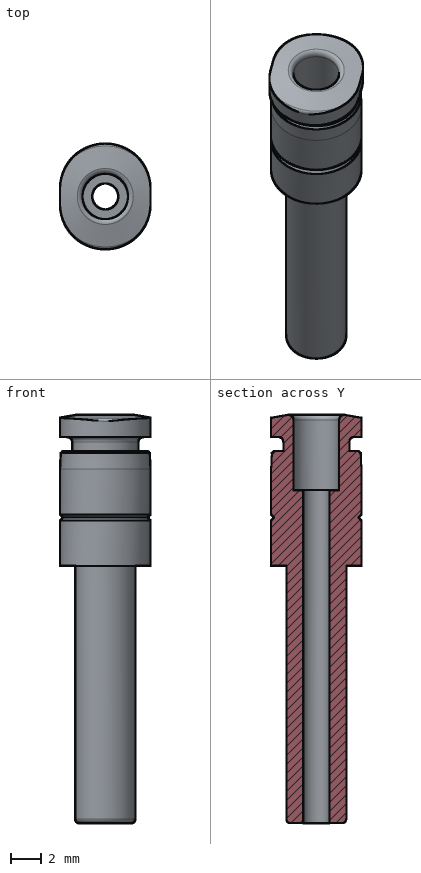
import cadquery as cq
import math

STEM_DIAMETER = 4.0
STEM_LENGTH = 17.0
STEM_END_FILLET = 0.3

COLLAR_DIAMETER = 6.0
COLLAR_TOP_Z = 24.6
COLLAR_CHAMFER = 0.15
COLLAR_LEAD_IN_Z = 23.4
COLLAR_LEAD_IN_DIAMETER = 5.9

GROOVE_CENTER_Z = 20.2
GROOVE_ROOT_DIAMETER = 5.6

NECK_DIAMETER = 4.4
NECK_FILLET = 0.3
HEAD_BOTTOM_Z = 25.5
HEAD_TOP_Z = 27.0
HEAD_LENGTH = 7.0
HEAD_WIDTH = 6.0
HEAD_EDGE_FILLET = 0.2
HEAD_TOP_SLOPE = math.radians(10)
CUT_CLEARANCE = 0.5

BORE_DIAMETER = 1.7
COUNTERBORE_DIAMETER = 3.0
COUNTERBORE_DEPTH = 5.0
MOUTH_FILLET = 0.35


def cylinder(diameter, bottom_z, top_z):
    """Cylinder on the Z axis between two heights."""
    return cq.Workplane("XY").workplane(offset=bottom_z).circle(diameter / 2).extrude(top_z - bottom_z)


def revolve_profile(points):
    """Revolve a closed (radius, height) polygon about the Z axis."""
    return cq.Workplane("XZ").polyline(points).close().revolve(360, (0, 0), (0, 1))


def make_stem():
    return cylinder(STEM_DIAMETER, 0, STEM_LENGTH).faces("<Z").edges().fillet(STEM_END_FILLET)


def make_collar():
    """Collar with a V-groove, a slightly tapered lead-in and a chamfered top rim."""
    radius = COLLAR_DIAMETER / 2
    lead_in_radius = COLLAR_LEAD_IN_DIAMETER / 2
    groove_radius = GROOVE_ROOT_DIAMETER / 2
    groove_half_width = radius - groove_radius
    return revolve_profile([
        (0, STEM_LENGTH),
        (radius, STEM_LENGTH),
        (radius, GROOVE_CENTER_Z - groove_half_width),
        (groove_radius, GROOVE_CENTER_Z),
        (radius, GROOVE_CENTER_Z + groove_half_width),
        (radius, COLLAR_LEAD_IN_Z),
        (lead_in_radius, COLLAR_TOP_Z - COLLAR_CHAMFER),
        (lead_in_radius - COLLAR_CHAMFER, COLLAR_TOP_Z),
        (0, COLLAR_TOP_Z),
    ])


def make_neck():
    """Neck that flares into the underside of the head with a concave fillet."""
    radius = NECK_DIAMETER / 2
    flare_start_z = HEAD_BOTTOM_Z - NECK_FILLET
    flare_center = (radius + NECK_FILLET, flare_start_z)
    arc_offset = NECK_FILLET * math.sqrt(0.5)
    return (
        cq.Workplane("XZ")
        .moveTo(0, COLLAR_TOP_Z)
        .lineTo(radius, COLLAR_TOP_Z)
        .lineTo(radius, flare_start_z)
        .threePointArc(
            (flare_center[0] - arc_offset, flare_center[1] + arc_offset),
            (flare_center[0], HEAD_BOTTOM_Z),
        )
        .lineTo(0, HEAD_BOTTOM_Z)
        .close()
        .revolve(360, (0, 0), (0, 1))
    )


def make_crown_cutter():
    """Ring above the head: its underside is the conical top and the rounded rim."""
    rim_radius = HEAD_LENGTH / 2
    cone_start_radius = COUNTERBORE_DIAMETER / 2 + MOUTH_FILLET
    fillet_center_radius = rim_radius - HEAD_EDGE_FILLET
    tangent_radius = fillet_center_radius + HEAD_EDGE_FILLET * math.sin(HEAD_TOP_SLOPE)
    tangent_z = HEAD_TOP_Z - (tangent_radius - cone_start_radius) * math.tan(HEAD_TOP_SLOPE)
    fillet_center_z = tangent_z - HEAD_EDGE_FILLET * math.cos(HEAD_TOP_SLOPE)
    mid_angle = (math.pi / 2 - HEAD_TOP_SLOPE) / 2
    outer_radius = rim_radius + CUT_CLEARANCE
    upper_z = HEAD_TOP_Z + CUT_CLEARANCE
    return (
        cq.Workplane("XZ")
        .moveTo(outer_radius, fillet_center_z)
        .lineTo(rim_radius, fillet_center_z)
        .threePointArc(
            (
                fillet_center_radius + HEAD_EDGE_FILLET * math.cos(mid_angle),
                fillet_center_z + HEAD_EDGE_FILLET * math.sin(mid_angle),
            ),
            (tangent_radius, tangent_z),
        )
        .lineTo(cone_start_radius, HEAD_TOP_Z)
        .lineTo(cone_start_radius, upper_z)
        .lineTo(outer_radius, upper_z)
        .close()
        .revolve(360, (0, 0), (0, 1))
    )


def make_head():
    """Obround head with a shallow conical top."""
    blank = (
        cq.Workplane("XY")
        .workplane(offset=HEAD_BOTTOM_Z)
        .slot2D(HEAD_LENGTH, HEAD_WIDTH, 90)
        .extrude(HEAD_TOP_Z - HEAD_BOTTOM_Z)
    )
    return blank.cut(make_crown_cutter())


def make_bore():
    """Through bore with a counterbore whose mouth is rounded over."""
    radius = COUNTERBORE_DIAMETER / 2
    arc_offset = MOUTH_FILLET * (1 - math.sqrt(0.5))
    counterbore = (
        cq.Workplane("XZ")
        .moveTo(0, HEAD_TOP_Z - COUNTERBORE_DEPTH)
        .lineTo(radius, HEAD_TOP_Z - COUNTERBORE_DEPTH)
        .lineTo(radius, HEAD_TOP_Z - MOUTH_FILLET)
        .threePointArc(
            (radius + arc_offset, HEAD_TOP_Z - arc_offset),
            (radius + MOUTH_FILLET, HEAD_TOP_Z),
        )
        .lineTo(0, HEAD_TOP_Z)
        .close()
        .revolve(360, (0, 0), (0, 1))
    )
    return cylinder(BORE_DIAMETER, 0, HEAD_TOP_Z).union(counterbore)


body = make_stem().union(make_collar()).union(make_neck()).union(make_head())
result = body.cut(make_bore())